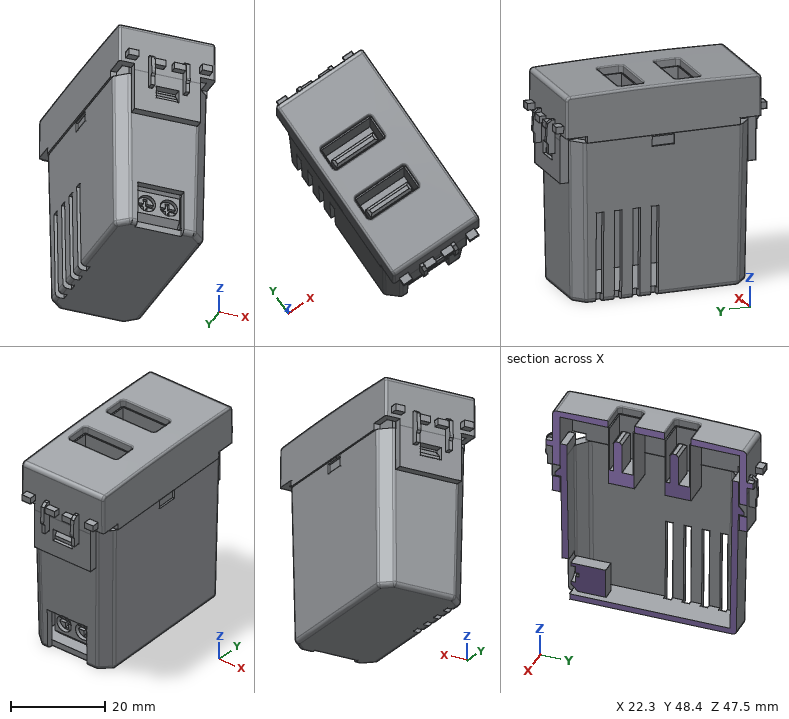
import cadquery as cq


total_height = 47.45
parting_z = 36.3

cover_width = 22.3
cover_length = 44.6
cover_side_wall = 1.45
cover_end_wall = 1.83
cover_ceiling_z = 45.6
crown_drop = 0.4
side_draft = 0.1
end_draft = 0.05
end_round = 1.0
edge_round = 0.5
notch_top_z = 37.8
side_skirt_length = 34.8

plate_width = 15.2
plate_bottom_z = 26.7
window_width = 5.15
window_bottom_z = 30.5
window_top_z = 33.35

corner_tab_width = 2.3
corner_tab_height = 1.5
corner_tab_x = 8.5
corner_tab_bottom_z = 38.7
corner_tab_reach = 1.7
inner_tab_height = 1.5
inner_tab_reach = 1.45
inner_tab_x = 0.97
rib_width = 0.85
rib_x = 4.0
rib_bottom_z = 32.55
rib_top_z = 40.1
rib_foot_reach = 1.5
rib_body_reach = 1.7
rib_tip_reach = 1.9
rib_crest_reach = 0.7
rib_slope_height = 0.8
rib_tip_bottom_z = 35.25
rib_tip_top_z = 35.7
rib_step_z = 34.7

housing_width = 21.6
housing_length = 40.9
housing_lean = 0.56
corner_chamfer_x = 2.8
corner_chamfer_y = 2.5
corner_blend = 1.0
bottom_round = 1.0
housing_side_wall = 1.2
housing_end_wall = 1.57
floor_thickness = 1.45
end_tongue_width = 15.0
end_tongue_top_z = 39.0
catch_bottom_z = 30.65
catch_edge_z = 31.45
catch_top_z = 32.9
catch_reach = 1.2
catch_clearance = 0.05
recess_width = 5.1
recess_bottom_z = 33.7
recess_top_z = 35.9
recess_depth = 0.5

vent_count = 4
vent_width = 1.7
vent_pitch = 4.18
vent_first_y = 1.8
vent_top_z = 20.2
vent_depth = 2.0

opening_left_x = -5.9
opening_right_x = 4.74
opening_top_z = 10.1

board_face_x = 4.57
board_thickness = 1.6
board_length = 36.5
board_bottom_z = 2.0
board_top_z = 44.0

socket_width = 13.2
socket_breadth = 5.95
socket_spacing = 12.95
socket_bottom_z = 31.5
port_corner = 0.8
cavity_width = 12.45
cavity_breadth = 5.25
cavity_floor_z = 35.0
blade_width = 10.75
blade_breadth = 2.07
blade_top_z = 42.5
blade_chamfer = 0.58
blade_offset_y = -0.85
port_rim_round = 0.25

block_width = 10.0
block_face_y = -18.0
block_depth = 8.0
block_top_z = 9.37
block_bottom_z = 2.4
block_slope_top_z = 3.97
screw_radius = 1.95
screw_spacing = 5.05
screw_z = 6.6
screw_recess = 1.0
cross_arm_width = 0.8
cross_arm_height = 3.05
cross_depth = 0.8

overcut = 1.0

end_y = cover_length / 2
plate_inner_y = end_y - cover_end_wall
socket_x = board_face_x - socket_width / 2
socket_ys = (-socket_spacing / 2, socket_spacing / 2)
block_x = board_face_x - block_width / 2


def box_between(x0, x1, y0, y1, z0, z1):
    """Box given by its limits along the three axes."""
    return cq.Workplane("XY").box(x1 - x0, y1 - y0, z1 - z0, centered=False).translate((x0, y0, z0))


def side_profile(points, width, x_middle=0.0):
    """Closed outline of (y, z) points, extruded along X about x_middle."""
    outline = cq.Workplane("YZ").polyline(points).close()
    return outline.extrude(width / 2, both=True).translate((x_middle, 0, 0))


def both_ends(body):
    """A feature on the -Y end joined with its mirror image on the +Y end."""
    return body.union(body.mirror("XZ"))


def cover_shell():
    end_top_z = total_height - crown_drop
    top_y = end_y - end_draft
    crowned = (
        cq.Workplane("YZ")
        .moveTo(-end_y, parting_z)
        .lineTo(-top_y, end_top_z)
        .threePointArc((0, total_height), (top_y, end_top_z))
        .lineTo(end_y, parting_z)
        .close()
        .extrude(cover_width, both=True)
        .edges("|X and (not <Z)").fillet(end_round)
    )
    half = cover_width / 2
    drafted = (
        cq.Workplane("XZ")
        .polyline([
            (-half, parting_z),
            (half, parting_z),
            (half - side_draft, total_height),
            (side_draft - half, total_height),
        ])
        .close()
        .extrude(cover_length, both=True)
    )
    block = crowned.intersect(drafted)
    block = block.faces("<X or >X").edges("not <Z").fillet(edge_round)
    inner_x = half - cover_side_wall
    return block.cut(box_between(-inner_x, inner_x, -plate_inner_y, plate_inner_y, 0, cover_ceiling_z))


def corner_notches():
    notches = cq.Workplane("XY")
    for side_x in (-1, 1):
        for side_y in (-1, 1):
            xs = sorted((side_x * plate_width / 2, side_x * cover_width))
            ys = sorted((side_y * side_skirt_length / 2, side_y * cover_length))
            notches = notches.add(box_between(*xs, *ys, 0, notch_top_z))
    return notches.combine()


def snap_plate():
    half = plate_width / 2
    plate = box_between(-half, half, -end_y, -plate_inner_y, plate_bottom_z, parting_z)
    half_window = window_width / 2
    return plate.cut(
        box_between(-half_window, half_window, -end_y, -plate_inner_y, window_bottom_z, window_top_z)
    )


def catches():
    """Corner tabs, inner tabs and upright ribs standing out from the -Y end."""
    root_y = plate_inner_y
    shoulder_z = rib_top_z - rib_slope_height
    rib_outline = [
        (-root_y, rib_bottom_z),
        (-end_y - rib_foot_reach, rib_bottom_z),
        (-end_y - rib_foot_reach, rib_step_z),
        (-end_y - rib_tip_reach, rib_tip_bottom_z),
        (-end_y - rib_tip_reach, rib_tip_top_z),
        (-end_y - rib_body_reach, shoulder_z),
        (-end_y - rib_crest_reach, rib_top_z),
        (-root_y, rib_top_z),
    ]
    group = cq.Workplane("XY")
    for side in (-1, 1):
        tab_x = side * corner_tab_x
        group = group.add(box_between(
            tab_x - corner_tab_width / 2, tab_x + corner_tab_width / 2,
            -end_y - corner_tab_reach, -root_y,
            corner_tab_bottom_z, corner_tab_bottom_z + corner_tab_height,
        ))
        xs = sorted((side * inner_tab_x, side * rib_x))
        group = group.add(box_between(
            *xs, -end_y - inner_tab_reach, -root_y,
            shoulder_z - inner_tab_height, shoulder_z,
        ))
        group = group.add(side_profile(rib_outline, rib_width, side * rib_x))
    return group.combine()


def port_prism(bottom_z, top_z):
    """Rounded upright prism with the plan of a socket, at each socket place."""
    return (
        cq.Workplane("XY", origin=(socket_x, 0, bottom_z))
        .pushPoints([(0, y) for y in socket_ys])
        .rect(socket_width, socket_breadth)
        .extrude(top_z - bottom_z)
        .edges("|Z").fillet(port_corner)
    )


def make_cover():
    cover = cover_shell().cut(corner_notches())
    cover = cover.cut(port_prism(parting_z, total_height + overcut))
    rim_zone_x = socket_width / 2 + port_rim_round
    rim_zone_y = socket_breadth / 2 + port_rim_round
    for y in socket_ys:
        rim_zone = cq.selectors.BoxSelector(
            (socket_x - rim_zone_x, y - rim_zone_y, total_height - crown_drop),
            (socket_x + rim_zone_x, y + rim_zone_y, total_height),
        )
        cover = cover.edges(rim_zone).fillet(port_rim_round)
    return cover.union(both_ends(snap_plate())).union(both_ends(catches()))


def chamfered_rectangle(width, length):
    """Corner points of a rectangle with its corners cut off, in order around the outline."""
    x_out = width / 2
    y_out = length / 2
    x_in = x_out - corner_chamfer_x
    y_in = y_out - corner_chamfer_y
    return [
        (x_out, -y_in), (x_out, y_in), (x_in, y_out), (-x_in, y_out),
        (-x_out, y_in), (-x_out, -y_in), (-x_in, -y_out), (x_in, -y_out),
    ]


def tapered_prism(width, length, bottom_z):
    """Prism with cut-off corners, width x length at the parting, leaning inward down to bottom_z."""
    height = parting_z - bottom_z
    narrowing = 2 * housing_lean * height / parting_z
    return (
        cq.Workplane("XY", origin=(0, 0, bottom_z))
        .polyline(chamfered_rectangle(width - narrowing, length - narrowing)).close()
        .workplane(offset=height)
        .polyline(chamfered_rectangle(width, length)).close()
        .loft(ruled=True)
        .edges("not (<Z or >Z)").fillet(corner_blend)
    )


def end_tongue_and_catch():
    """Raised part of the -Y end wall, with the wedge that snaps into the plate window."""
    outer_y = -housing_length / 2
    half = end_tongue_width / 2
    tongue = box_between(-half, half, outer_y, outer_y + housing_end_wall, parting_z, end_tongue_top_z)
    root_y = outer_y + housing_end_wall / 2
    wedge_outline = [
        (root_y, catch_bottom_z),
        (outer_y - catch_reach, catch_bottom_z),
        (outer_y - catch_reach, catch_edge_z),
        (outer_y, catch_top_z),
        (root_y, catch_top_z),
    ]
    return tongue.add(side_profile(wedge_outline, window_width - 2 * catch_clearance)).combine()


def vents():
    """Slots through the -X wall that run out through the floor."""
    foot_x = housing_lean - housing_width / 2
    slots = cq.Workplane("XY")
    for index in range(vent_count):
        y = vent_first_y + index * vent_pitch
        slots = slots.add(box_between(
            -housing_width, foot_x + vent_depth, y - vent_width / 2, y + vent_width / 2, -overcut, vent_top_z
        ))
    return slots.combine()


def side_recesses():
    floor_x = housing_width / 2 - recess_depth
    half = recess_width / 2
    recess = box_between(floor_x, housing_width, -half, half, recess_bottom_z, recess_top_z)
    return recess.union(recess.mirror("YZ"))


def make_housing():
    housing = tapered_prism(housing_width, housing_length, 0).faces("<Z").edges().fillet(bottom_round)
    housing = housing.cut(tapered_prism(
        housing_width - 2 * housing_side_wall, housing_length - 2 * housing_end_wall, floor_thickness
    ))
    housing = housing.union(both_ends(end_tongue_and_catch()))
    wall_inner_y = housing_lean - housing_length / 2 + housing_end_wall
    opening = box_between(
        opening_left_x, opening_right_x, -housing_length, wall_inner_y, -overcut, opening_top_z
    )
    return housing.cut(opening).cut(vents()).cut(side_recesses())


def make_board():
    half = board_length / 2
    return box_between(
        board_face_x, board_face_x + board_thickness, -half, half, board_bottom_z, board_top_z
    )


def make_socket(y):
    height = cover_ceiling_z - socket_bottom_z
    shell = (
        cq.Workplane("XY", origin=(socket_x, y, socket_bottom_z))
        .rect(socket_width, socket_breadth)
        .extrude(height)
    )
    cavity = (
        cq.Workplane("XY", origin=(socket_x, y, cavity_floor_z))
        .rect(cavity_width, cavity_breadth)
        .extrude(height)
    )
    blade = (
        cq.Workplane("XY", origin=(socket_x, y + blade_offset_y, socket_bottom_z))
        .rect(blade_width, blade_breadth)
        .extrude(blade_top_z - socket_bottom_z)
        .faces(">Z").chamfer(blade_chamfer)
    )
    return shell.cut(cavity).union(blade)


def make_terminal():
    back_y = block_face_y + block_depth
    slope = block_slope_top_z - block_bottom_z
    block = side_profile([
        (block_face_y, block_top_z),
        (block_face_y, block_slope_top_z),
        (block_face_y + slope, block_bottom_z),
        (back_y, block_bottom_z),
        (back_y, block_top_z),
    ], block_width, block_x)
    screw_face_y = block_face_y + screw_recess
    for side in (-1, 1):
        x = block_x + side * screw_spacing / 2
        recess = (
            cq.Workplane("XZ", origin=(x, screw_face_y, screw_z))
            .circle(screw_radius)
            .extrude(screw_recess)
        )
        slot_origin = (x, screw_face_y + cross_depth, screw_z)
        slots = (
            cq.Workplane("XZ", origin=slot_origin)
            .rect(2 * screw_radius, cross_arm_width)
            .extrude(cross_depth)
            .intersect(cq.Workplane("XZ", origin=slot_origin).circle(screw_radius).extrude(cross_depth))
        )
        upright = (
            cq.Workplane("XZ", origin=slot_origin)
            .rect(cross_arm_width, cross_arm_height)
            .extrude(cross_depth)
        )
        block = block.cut(recess).cut(slots).cut(upright)
    return block


cover = make_cover()
housing = make_housing()
board = make_board()
sockets = [make_socket(y) for y in socket_ys]
terminal = make_terminal()

result = cq.Compound.makeCompound([
    cover.val(),
    housing.val(),
    board.val(),
    *[socket.val() for socket in sockets],
    terminal.val(),
])